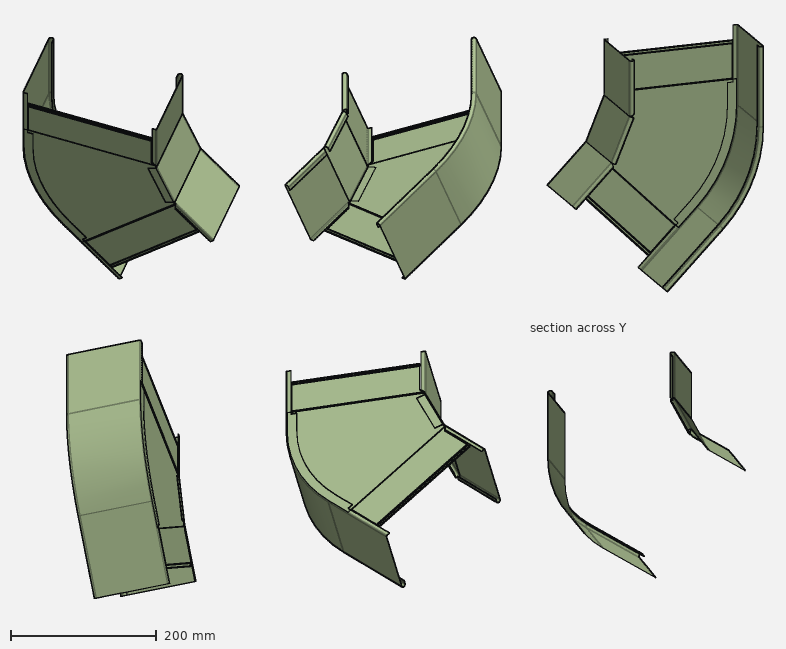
import cadquery as cq
import math


bend_angle = 45.0
outer_radius = 200.5
arm_length = 115.5
elbow_width = 196.0
depth = 107.0
sheet = 1.0

front_bend_radius = 1.7
hook_radius = 3.7
hook_drop = 10.0

outer_arm_lip = 7.0
outer_bend_lip = 15.3
outer_bend_lip_end = 33.5
inner_arm_lip = 6.5
inner_facet_lip = 14.2

inner_wall_x = elbow_width - outer_radius
fold_height = 35.5
arm_lip_inset = 1.7
arm_hook_cut = 3.7
facet_lip_inset = 1.5
facet_hook_cut = 11.0

plate_clearance = 2.0
crease_height = 38.0
tongue_outer_gap = 1.0
tongue_inner_gap = 2.0
tongue_end = 94.5
joggle_length = 1.0
bead_edge = 1.5
bead_width = 3.0
bead_depth = 1.7
bead_bend_depth = bead_depth / 2
bead_run_out = 1.5

half_angle = math.radians(bend_angle / 2)
axis_x = -math.cos(half_angle)
axis_z = -math.sin(half_angle)
mirror_normal = cq.Vector(-axis_z, 0, axis_x)


def mirrored(point):
    """The mirror image of an (x, z) point in the plane that halves the bend."""
    along = point[0] * axis_x + point[1] * axis_z
    return (2 * along * axis_x - point[0], 2 * along * axis_z - point[1])


def arc_middle(radius):
    """The (x, z) point halfway round the bend at the given radius."""
    return (radius * axis_x, radius * axis_z)


def with_mirror_image(body):
    return body.union(body.mirror(mirror_normal))


def prism(outline, front, back):
    """An outline on the XZ workplane made solid from Y = front to Y = back."""
    return outline.extrude(front - back).translate((0, front, 0))


def wall_section(plane, lip):
    """The wall's cross-section: x runs inward from the outer face and y runs toward the back."""
    inner_bend = front_bend_radius - sheet
    diagonal = math.sqrt(0.5)
    outer_mid = front_bend_radius * (1 - diagonal)
    inner_mid = front_bend_radius - inner_bend * diagonal
    hook_y = depth - hook_radius
    hook_end = depth - hook_drop
    hook_width = 2 * hook_radius
    return (
        cq.Workplane(plane)
        .moveTo(lip, 0)
        .lineTo(front_bend_radius, 0)
        .threePointArc((outer_mid, outer_mid), (0, front_bend_radius))
        .lineTo(0, hook_y)
        .threePointArc((hook_radius, depth), (hook_width, hook_y))
        .lineTo(hook_width, hook_end)
        .lineTo(hook_width - sheet, hook_end)
        .lineTo(hook_width - sheet, hook_y)
        .threePointArc((hook_radius, depth - sheet), (sheet, hook_y))
        .lineTo(sheet, front_bend_radius)
        .threePointArc((inner_mid, inner_mid), (front_bend_radius, sheet))
        .lineTo(lip, sheet)
        .close()
    )


def make_outer_wall():
    tangent = (-outer_radius, 0)
    end = (-outer_radius, arm_length)
    path = (
        cq.Workplane("XZ")
        .moveTo(*end)
        .lineTo(*tangent)
        .threePointArc(arc_middle(outer_radius), mirrored(tangent))
        .lineTo(*mirrored(end))
    )
    end_plane = cq.Plane(origin=(end[0], 0, end[1]), xDir=(1, 0, 0), normal=(0, 0, 1))
    wall = wall_section(end_plane, outer_arm_lip).sweep(path)

    lip_radius = outer_radius - front_bend_radius
    edge_radius = outer_radius - outer_bend_lip
    flange = (
        cq.Workplane("XZ")
        .moveTo(-lip_radius, outer_bend_lip_end)
        .lineTo(-lip_radius, 0)
        .threePointArc(arc_middle(lip_radius), mirrored((-lip_radius, 0)))
        .lineTo(*mirrored((-lip_radius, outer_bend_lip_end)))
        .lineTo(*mirrored((-edge_radius, outer_bend_lip_end)))
        .lineTo(*mirrored((-edge_radius, 0)))
        .threePointArc(arc_middle(edge_radius), (-edge_radius, 0))
        .lineTo(-edge_radius, outer_bend_lip_end)
        .close()
    )
    return wall.union(prism(flange, 0, sheet)).solids()


def inner_fold(inset):
    """The (x, z) corner where arm 1 meets the facet, at an inset from the outer face."""
    return (inner_wall_x - inset, fold_height - inset * math.tan(half_angle / 2))


def make_inner_arm():
    plane = cq.Plane(origin=(inner_wall_x, 0, arm_length), xDir=(-1, 0, 0), normal=(0, 0, -1))
    arm = wall_section(plane, inner_arm_lip).extrude(arm_length - fold_height)

    web_x = inner_wall_x - sheet
    lip_x = inner_wall_x - inner_arm_lip
    lip_start = fold_height + arm_lip_inset
    lip_cut = (
        cq.Workplane("XZ")
        .moveTo(web_x, fold_height)
        .lineTo(lip_x, fold_height)
        .lineTo(lip_x, lip_start + inner_arm_lip)
        .lineTo(web_x, lip_start + sheet)
        .close()
    )
    hook_x = inner_wall_x - 2 * hook_radius
    hook_cut = (
        cq.Workplane("XZ")
        .moveTo(web_x, fold_height)
        .lineTo(hook_x, fold_height)
        .lineTo(hook_x, fold_height + arm_hook_cut)
        .close()
    )
    return arm.cut(prism(lip_cut, 0, depth / 2)).cut(prism(hook_cut, depth / 2, depth))


def make_inner_facet():
    start = inner_fold(0)
    finish = mirrored(start)
    length = math.dist(start, finish)
    plane = cq.Plane(
        origin=(start[0], 0, start[1]),
        xDir=(axis_x, 0, axis_z),
        normal=(finish[0] - start[0], 0, finish[1] - start[1]),
    )
    facet = wall_section(plane, inner_facet_lip).extrude(length)

    lip_cut = (
        cq.Workplane(plane)
        .moveTo(sheet, 0)
        .rect(inner_facet_lip, depth / 2, centered=False)
        .extrude(facet_lip_inset)
    )

    across = cq.Plane(origin=plane.origin, xDir=plane.xDir, normal=plane.yDir.multiply(-1))
    hook_cut = (
        cq.Workplane(across)
        .workplane(offset=-depth)
        .moveTo(sheet, 0)
        .lineTo(2 * hook_radius, 0)
        .lineTo(2 * hook_radius, -facet_hook_cut)
        .lineTo(sheet, -facet_lip_inset)
        .close()
        .extrude(depth / 2)
    )
    return facet.cut(with_mirror_image(lip_cut)).cut(with_mirror_image(hook_cut))


def make_inner_wall():
    outer_line = [(inner_wall_x, arm_length), inner_fold(0)]
    inner_line = [inner_fold(sheet), (inner_wall_x - sheet, arm_length)]
    web_points = [mirrored(point) for point in inner_line + outer_line]
    web = cq.Workplane("XZ").polyline(outer_line + web_points[::-1] + inner_line).close()
    wall = prism(web, front_bend_radius, depth - hook_radius)
    return wall.union(with_mirror_image(make_inner_arm())).union(make_inner_facet()).solids()


def make_tongue():
    """The tongue of arm 1: it steps forward off the plate and ends in a pressed bead."""
    bead_outer = tongue_end - bead_edge
    bead_inner = bead_outer - bead_width
    profile = (
        cq.Workplane("YZ")
        .moveTo(sheet, crease_height)
        .lineTo(0, crease_height + joggle_length)
        .lineTo(0, bead_inner - bead_run_out)
        .lineTo(bead_bend_depth, bead_inner)
        .threePointArc((bead_depth, bead_inner + bead_width / 2), (bead_bend_depth, bead_outer))
        .lineTo(bead_bend_depth, tongue_end)
        .lineTo(bead_bend_depth + sheet, tongue_end)
        .lineTo(bead_bend_depth + sheet, bead_outer)
        .threePointArc(
            (bead_depth + sheet, bead_inner + bead_width / 2), (bead_bend_depth + sheet, bead_inner)
        )
        .lineTo(sheet, bead_inner - bead_run_out)
        .lineTo(sheet, crease_height + joggle_length)
        .lineTo(2 * sheet, crease_height)
        .close()
    )
    strip = profile.extrude(outer_radius, both=True)

    left = -outer_radius + outer_arm_lip + tongue_outer_gap
    flared_right = inner_wall_x - plate_clearance
    right = inner_wall_x - inner_arm_lip - tongue_inner_gap
    outline = (
        cq.Workplane("XZ")
        .moveTo(left, crease_height)
        .lineTo(flared_right, crease_height)
        .lineTo(right, crease_height + flared_right - right)
        .lineTo(right, tongue_end)
        .lineTo(left, tongue_end)
        .close()
    )
    return strip.intersect(prism(outline, 0, depth))


def make_base_plate():
    radius = outer_radius - plate_clearance
    crease_outer = (-radius, crease_height)
    crease_inner = (inner_wall_x - plate_clearance, crease_height)
    facet_inner = inner_fold(plate_clearance)
    plate = (
        cq.Workplane("XZ")
        .moveTo(*crease_outer)
        .lineTo(-radius, 0)
        .threePointArc(arc_middle(radius), mirrored((-radius, 0)))
        .lineTo(*mirrored(crease_outer))
        .lineTo(*mirrored(crease_inner))
        .lineTo(*mirrored(facet_inner))
        .lineTo(*facet_inner)
        .lineTo(*crease_inner)
        .close()
    )
    return prism(plate, sheet, 2 * sheet).union(with_mirror_image(make_tongue())).solids()


outer_wall = make_outer_wall()
inner_wall = make_inner_wall()
base_plate = make_base_plate()

result = cq.Compound.makeCompound([outer_wall.val(), inner_wall.val(), base_plate.val()])